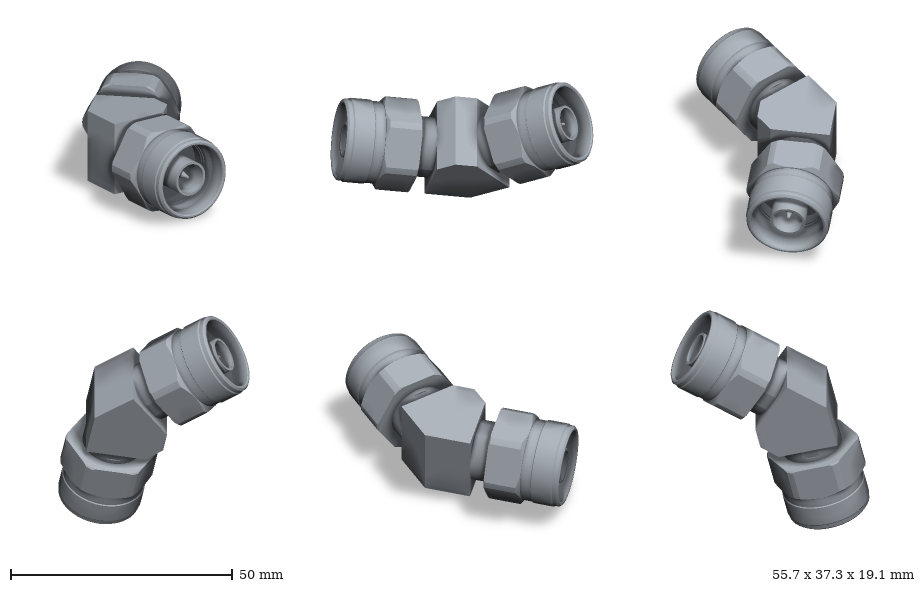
import cadquery as cq
import math

BEND_ANGLE = 45
ARM_ANGLES = [0, 180 - BEND_ANGLE]
BLOCK_REACH = 7.75
BLOCK_WIDTH = 13.5
BLOCK_HALF_WIDTH = BLOCK_WIDTH / 2
BLOCK_HEIGHT = 16.9

NECK_RADIUS = 6.85
NECK_FLAT_OFFSET = 6.55
NECK_FLAT_END = 10.8

NUT_BACK = 11.85
HEX_FRONT = 20.1
RING_BACK = 22.5
RING_FRONT = 27.25
LIP_STEP = 27.55
NUT_FRONT = 28.95

RING_DIAMETER = 19.1
RING_RADIUS = RING_DIAMETER / 2
BARREL_RADIUS = 9.3
RING_BACK_CHAMFER = 0.15
HEX_SIDES = 6
HEX_POINT_RADIUS = RING_RADIUS / math.cos(math.pi / HEX_SIDES)
HEX_CORNER_RADIUS = 10.55
HEX_FRONT_CHAMFER = 0.8
HEX_BACK_CHAMFER = 0.3
FRONT_CHAMFER = 0.45

MOUTH_CHAMFER = 0.2
BORE_RADIUS = 8.25
BORE_END = 24.75
LAND_STEP = 0.2
OUTER_LAND_RADIUS = 7.7
MIDDLE_LAND_RADIUS = OUTER_LAND_RADIUS - LAND_STEP
INNER_LAND_RADIUS = MIDDLE_LAND_RADIUS - LAND_STEP
OUTER_LAND_FRONT = 23.5
MIDDLE_LAND_FRONT = 22.55
INNER_LAND_FRONT = 21.85
UNDERCUT_FRONT = 20.9
FLANGE_RADIUS = 7.7
FLANGE_FRONT = 18.75
FLANGE_BACK = 16.7

TUBE_RADIUS = 4.0
TUBE_WALL = 0.55
TUBE_BORE_RADIUS = TUBE_RADIUS - TUBE_WALL
TUBE_SETBACK = 1.0
PIN_SETBACK = 2.05
PIN_RADIUS = 0.85
PIN_TIP_RADIUS = 0.3
PIN_TIP_LENGTH = 2.4


def revolve_about_x(outline):
    """Turn a closed outline of (distance along X, radius) points about the X axis."""
    return cq.Workplane("XY").polyline(outline).close().revolve(360, (0, 0, 0), (1, 0, 0))


def make_nut():
    """Coupling nut on the X axis: hexagon, round barrel and stepped cavity."""
    hexagon = (
        cq.Workplane("YZ", origin=(NUT_BACK, 0, 0))
        .polygon(HEX_SIDES, 2 * HEX_POINT_RADIUS)
        .extrude(HEX_FRONT - NUT_BACK)
    )
    corner_trim = revolve_about_x([
        (NUT_BACK, 0),
        (NUT_BACK, HEX_CORNER_RADIUS - HEX_BACK_CHAMFER),
        (NUT_BACK + HEX_BACK_CHAMFER, HEX_CORNER_RADIUS),
        (HEX_FRONT - HEX_FRONT_CHAMFER, HEX_CORNER_RADIUS),
        (HEX_FRONT, RING_RADIUS),
        (HEX_FRONT, 0),
    ])
    barrel = revolve_about_x([
        (NUT_BACK, 0),
        (NUT_BACK, BARREL_RADIUS),
        (RING_BACK, BARREL_RADIUS),
        (RING_BACK + RING_BACK_CHAMFER, RING_RADIUS),
        (RING_FRONT, RING_RADIUS),
        (LIP_STEP, BARREL_RADIUS),
        (NUT_FRONT - FRONT_CHAMFER, BARREL_RADIUS),
        (NUT_FRONT, BARREL_RADIUS - FRONT_CHAMFER),
        (NUT_FRONT, 0),
    ])
    cavity = revolve_about_x([
        (NUT_BACK, 0),
        (NUT_BACK, NECK_RADIUS),
        (FLANGE_BACK, NECK_RADIUS),
        (FLANGE_BACK, FLANGE_RADIUS),
        (UNDERCUT_FRONT, FLANGE_RADIUS),
        (UNDERCUT_FRONT, INNER_LAND_RADIUS),
        (INNER_LAND_FRONT, INNER_LAND_RADIUS),
        (INNER_LAND_FRONT, MIDDLE_LAND_RADIUS),
        (MIDDLE_LAND_FRONT, MIDDLE_LAND_RADIUS),
        (MIDDLE_LAND_FRONT, OUTER_LAND_RADIUS),
        (OUTER_LAND_FRONT, OUTER_LAND_RADIUS),
        (BORE_END, BORE_RADIUS),
        (NUT_FRONT - MOUTH_CHAMFER, BORE_RADIUS),
        (NUT_FRONT, BORE_RADIUS + MOUTH_CHAMFER),
        (NUT_FRONT, 0),
    ])
    return hexagon.intersect(corner_trim).union(barrel).cut(cavity)


def make_block():
    """Elbow block for two arms, whose outline is symmetric about the bisector of the two arms."""
    bend = math.radians(ARM_ANGLES[1])
    along = (math.cos(bend), math.sin(bend))
    across = (math.sin(bend), -math.cos(bend))

    def second_arm_corner(side):
        return tuple(BLOCK_REACH * a + side * BLOCK_HALF_WIDTH * c for a, c in zip(along, across))

    top_corner = second_arm_corner(1)
    chamfer_x = BLOCK_REACH + BLOCK_HALF_WIDTH - top_corner[1]
    heel_x = -BLOCK_HALF_WIDTH * math.tan(math.radians(BEND_ANGLE / 2))
    outline = [
        (BLOCK_REACH, -BLOCK_HALF_WIDTH),
        (BLOCK_REACH, BLOCK_HALF_WIDTH),
        (chamfer_x, top_corner[1]),
        top_corner,
        second_arm_corner(-1),
        (heel_x, -BLOCK_HALF_WIDTH),
    ]
    return cq.Workplane("XY").polyline(outline).close().extrude(BLOCK_HEIGHT / 2, both=True)


def make_arm():
    """One arm of the body on the X axis: neck, flange inside the nut, tube and pin."""
    arm = revolve_about_x([
        (BLOCK_REACH, 0),
        (BLOCK_REACH, NECK_RADIUS),
        (FLANGE_BACK, NECK_RADIUS),
        (FLANGE_BACK, FLANGE_RADIUS),
        (FLANGE_FRONT, FLANGE_RADIUS),
        (FLANGE_FRONT, TUBE_RADIUS),
        (NUT_FRONT - TUBE_SETBACK, TUBE_RADIUS),
        (NUT_FRONT - TUBE_SETBACK, TUBE_BORE_RADIUS),
        (FLANGE_FRONT, TUBE_BORE_RADIUS),
        (FLANGE_FRONT, PIN_RADIUS),
        (NUT_FRONT - PIN_SETBACK - PIN_TIP_LENGTH, PIN_RADIUS),
        (NUT_FRONT - PIN_SETBACK, PIN_TIP_RADIUS),
        (NUT_FRONT - PIN_SETBACK, 0),
    ])
    cut_height = NECK_RADIUS - NECK_FLAT_OFFSET
    cut_center = NECK_FLAT_OFFSET + cut_height / 2
    flat_cut = cq.Workplane("XY").box(NECK_FLAT_END, 2 * NECK_RADIUS, cut_height, centered=(False, True, True))
    for side in (1, -1):
        arm = arm.cut(flat_cut.translate((0, 0, side * cut_center)))
    return arm


def place(shape, angle):
    """Swing a shape made on the X axis round to the direction of its arm."""
    return shape.rotate((0, 0, 0), (0, 0, 1), angle)


body = make_block()
for angle in ARM_ANGLES:
    body = body.union(place(make_arm(), angle))

nuts = [place(make_nut(), angle) for angle in ARM_ANGLES]

result = cq.Compound.makeCompound([body.val(), *[nut.val() for nut in nuts]])